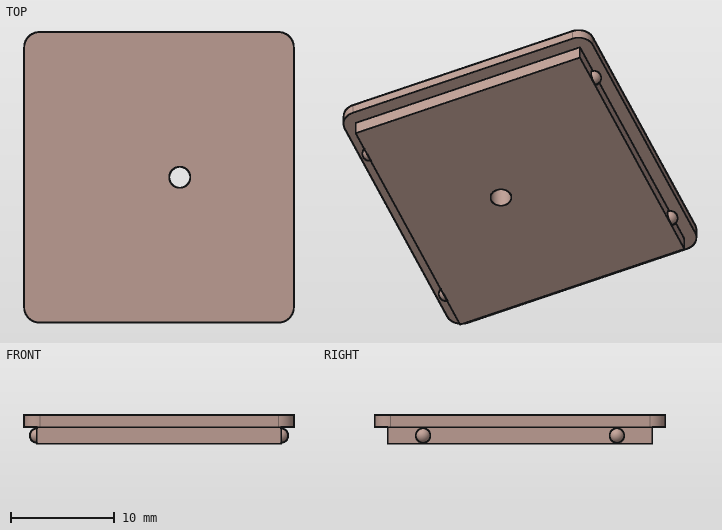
import cadquery as cq

plate_length_x = 26.0
plate_length_y = 28.0
plate_thickness = 1.2
corner_radius = 1.5

total_height = 2.8
plug_inset = 1.25
plug_height = total_height - plate_thickness
plug_length_x = plate_length_x - 2 * plug_inset
plug_length_y = plate_length_y - 2 * plug_inset

bump_radius = 0.7
bump_offset_y = plate_length_y / 3

hole_diameter = 2.0
hole_x = 2.0


def make_plate():
    plate = cq.Workplane("XY").workplane(offset=plug_height)
    plate = plate.rect(plate_length_x, plate_length_y).extrude(plate_thickness)
    return plate.edges("|Z").fillet(corner_radius)


def make_plug():
    return cq.Workplane("XY").rect(plug_length_x, plug_length_y).extrude(plug_height)


def make_bumps():
    centres = cq.Workplane("XY").workplane(offset=plug_height / 2)
    centres = centres.rect(plug_length_x, 2 * bump_offset_y, forConstruction=True).vertices()
    return centres.sphere(bump_radius)


def make_hole():
    return cq.Workplane("XY").center(hole_x, 0).circle(hole_diameter / 2).extrude(total_height)


result = make_plate().union(make_plug()).union(make_bumps()).cut(make_hole())